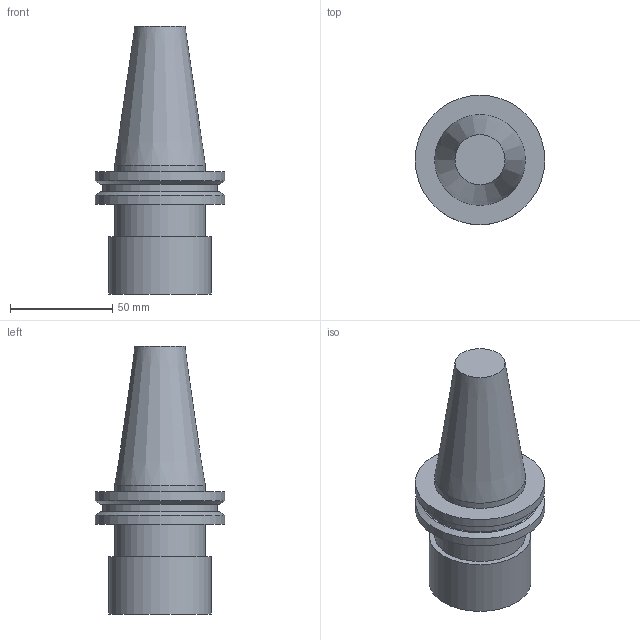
import cadquery as cq
import math

gauge_diameter = 44.45
taper_length = 68.25
taper_ratio = 7 / 24
small_end_diameter = gauge_diameter - taper_length * taper_ratio

flange_diameter = 63.5
flange_top = -3.18
flange_bottom = -19.05
groove_diameter = 56.36
groove_middle = (flange_top + flange_bottom) / 2
groove_floor_width = 3.84
groove_mouth_width = 7.05
groove_wall_angle = 30

gauge_length = 63.0
nut_diameter = 50.0
nut_length = 28.0

gauge_radius = gauge_diameter / 2
flange_radius = flange_diameter / 2
groove_radius = groove_diameter / 2
nut_radius = nut_diameter / 2
nut_bottom = -gauge_length
nut_top = nut_bottom + nut_length

floor_half_width = groove_floor_width / 2
mouth_half_width = groove_mouth_width / 2
groove_wall_height = mouth_half_width - floor_half_width
ledge_radius = flange_radius - groove_wall_height / math.tan(math.radians(groove_wall_angle))

half_section = [
    (0, taper_length),
    (small_end_diameter / 2, taper_length),
    (gauge_radius, 0),
    (gauge_radius, flange_top),
    (flange_radius, flange_top),
    (flange_radius, groove_middle + mouth_half_width),
    (ledge_radius, groove_middle + floor_half_width),
    (groove_radius, groove_middle + floor_half_width),
    (groove_radius, groove_middle - floor_half_width),
    (ledge_radius, groove_middle - floor_half_width),
    (flange_radius, groove_middle - mouth_half_width),
    (flange_radius, flange_bottom),
    (gauge_radius, flange_bottom),
    (gauge_radius, nut_top),
    (nut_radius, nut_top),
    (nut_radius, nut_bottom),
    (0, nut_bottom),
]

result = cq.Workplane("XZ").polyline(half_section).close().revolve(360, (0, 0), (0, 1))